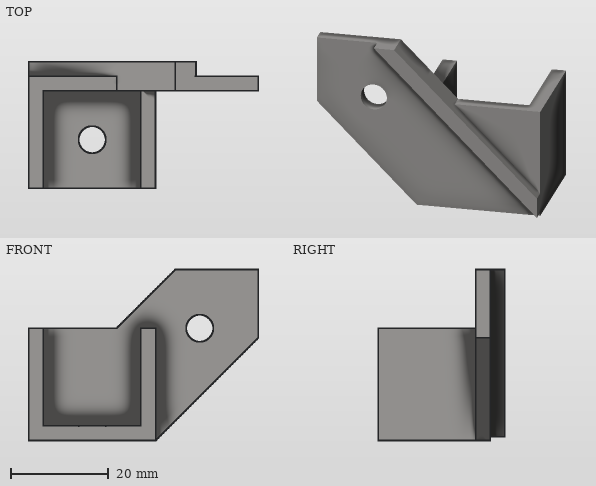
import cadquery as cq
import math

total_length = 47.0
total_height = 35.0
wall = 3.0
box_width = 26.0
box_height = 23.0
box_depth = 23.0
plate_end_low = 21.0
diagonal_rise = 5.0
hole_diameter = 5.5
plate_hole_x = 35.0
plate_hole_z = box_height

cavity_width = box_width - 2 * wall
cavity_depth = box_depth - wall
cavity_height = box_height - wall
diagonal_top_x = total_height - diagonal_rise
diagonal_box_x = box_height - diagonal_rise
rib_vertical_width = wall * math.sqrt(2)
rib_low_z = diagonal_rise - rib_vertical_width


def extrude_back(outline, front_y):
    """Extrude an XZ outline by one wall thickness from front_y towards +Y."""
    profile = cq.Workplane("XZ", origin=(0, front_y, 0)).polyline(outline).close()
    return profile.extrude(-wall)


def open_box():
    """Box with a floor, two sides and a back, open at the front and top."""
    block = cq.Workplane("XY").box(box_width, box_depth, box_height, centered=False)
    cavity = (
        cq.Workplane("XY")
        .box(cavity_width, cavity_depth, cavity_height, centered=False)
        .translate((wall, 0, wall))
    )
    return block.cut(cavity)


def back_plate():
    """Back wall carried on diagonally beyond the box."""
    outline = [
        (0, 0),
        (box_width, 0),
        (total_length, plate_end_low),
        (total_length, total_height),
        (diagonal_top_x, total_height),
        (diagonal_box_x, box_height),
        (0, box_height),
    ]
    return extrude_back(outline, cavity_depth)


def diagonal_rib():
    """45 degree rib on the rear face, flush with the plate's upper diagonal."""
    outline = [
        (0, rib_low_z),
        (total_height - rib_low_z, total_height),
        (diagonal_top_x, total_height),
        (0, diagonal_rise),
    ]
    return extrude_back(outline, box_depth)


def floor_hole():
    """Cutter for the hole in the middle of the box floor."""
    centre = (box_width / 2, cavity_depth / 2, 0)
    return cq.Workplane("XY", origin=centre).circle(hole_diameter / 2).extrude(wall)


def plate_hole():
    """Cutter for the hole through the plate beside the box."""
    centre = (plate_hole_x, cavity_depth, plate_hole_z)
    return cq.Workplane("XZ", origin=centre).circle(hole_diameter / 2).extrude(-wall)


bracket = open_box().union(back_plate()).union(diagonal_rib())
result = bracket.cut(floor_hole()).cut(plate_hole())